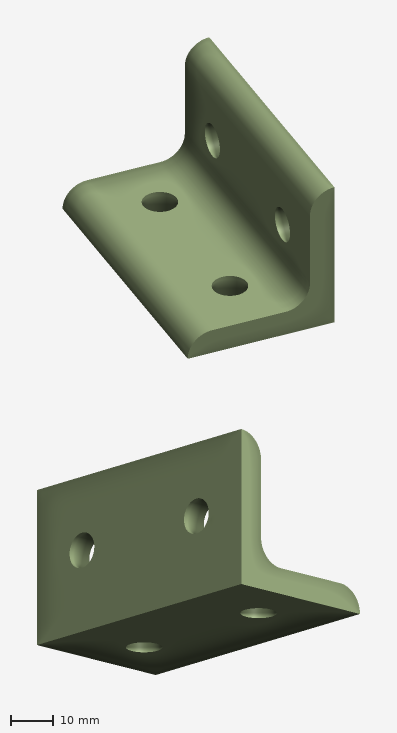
import cadquery as cq

length = 71.4
leg = 38.1
thickness = 6.35
toe_radius = thickness
root_radius = 6.35
hole_diameter = 8.65
hole_spacing = 40.0
hole_offset = 20.0


def angle_bar():
    """Equal-leg angle with quarter-round toes and a filleted root, along X."""
    toe_start = leg - toe_radius
    toe_mid = toe_radius * 0.5**0.5
    root_end = thickness + root_radius
    root_mid = root_end - root_radius * 0.5**0.5
    profile = (
        cq.Workplane("YZ")
        .lineTo(-leg, 0)
        .threePointArc((-toe_start - toe_mid, toe_mid), (-toe_start, thickness))
        .lineTo(-root_end, thickness)
        .threePointArc((-root_mid, root_mid), (-thickness, root_end))
        .lineTo(-thickness, toe_start)
        .threePointArc((-toe_mid, toe_start + toe_mid), (0, leg))
        .close()
    )
    return profile.extrude(length / 2, both=True)


def hole_pair(plane):
    """Two cutters, starting on an outer face and passing through one leg."""
    centres = [(-hole_spacing / 2, 0), (hole_spacing / 2, 0)]
    return cq.Workplane(plane).pushPoints(centres).circle(hole_diameter / 2).extrude(thickness)


upright_holes = hole_pair("XZ").translate((0, 0, hole_offset))
base_holes = hole_pair("XY").translate((0, -hole_offset, 0))
result = angle_bar().cut(upright_holes).cut(base_holes)